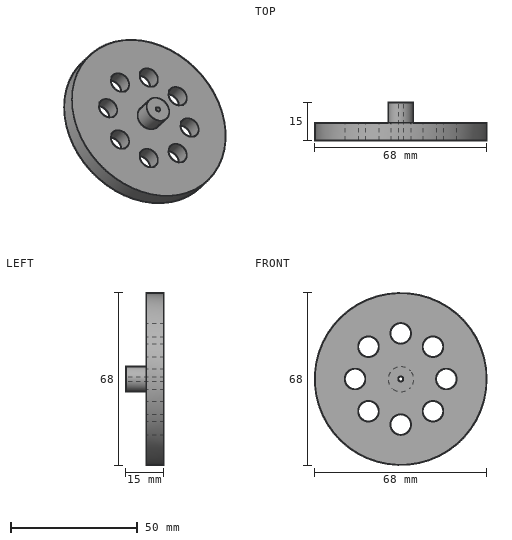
import cadquery as cq

disc_diameter = 68.0
disc_thickness = 7.0

hub_diameter = 10.0
hub_length = 8.0

bore_diameter = 1.9
ring_hole_diameter = 8.0
ring_hole_count = 8
ring_radius = 18.0

total_depth = disc_thickness + hub_length


def cylinder_along_y(diameter, length):
    """Cylinder on the Y axis, running from Y = 0 to Y = length."""
    return cq.Workplane("XZ").circle(diameter / 2).extrude(-length)


def ring_holes():
    """Cutters for the evenly spaced holes through the disc."""
    return (
        cq.Workplane("XZ")
        .polarArray(ring_radius, 0, 360, ring_hole_count)
        .circle(ring_hole_diameter / 2)
        .extrude(-disc_thickness)
    )


disc = cylinder_along_y(disc_diameter, disc_thickness)
hub = cylinder_along_y(hub_diameter, total_depth)
bore = cylinder_along_y(bore_diameter, total_depth)

result = disc.union(hub).cut(ring_holes()).cut(bore)